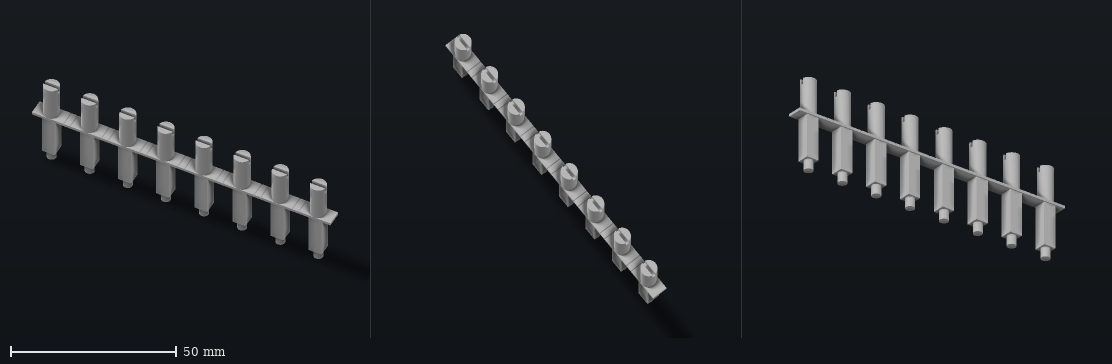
import cadquery as cq

strip_length = 101.8
strip_width = 5.2
strip_thickness = 0.9

screw_count = 8
end_margin = 5.4
screw_pitch = (strip_length - 2 * end_margin) / (screw_count - 1)

head_diameter = strip_width
head_height = 12.0
slot_width = 1.1
slot_depth = 2.0

total_height = 30.9
shank_side = 4.4
tip_diameter = 3.1
tip_length = 3.4
shank_length = total_height - head_height - strip_thickness - tip_length

groove_spacing = 2.2
groove_width = 0.4
groove_depth = 0.2

tip_top = -strip_thickness - shank_length
screw_positions = [(i - (screw_count - 1) / 2) * screw_pitch for i in range(screw_count)]


def make_strip():
    """Flat strip with V-shaped grooves cut into its top face."""
    strip = cq.Workplane("XY").rect(strip_length, strip_width).extrude(-strip_thickness)
    for screw_x in screw_positions[:-1]:
        middle_x = screw_x + screw_pitch / 2
        for side in (-1, 1):
            strip = strip.cut(make_groove(middle_x + side * groove_spacing / 2))
    return strip


def make_groove(x):
    """V-shaped cutter running across the full strip width."""
    corners = [(x - groove_width / 2, 0), (x + groove_width / 2, 0), (x, -groove_depth)]
    return cq.Workplane("XZ").polyline(corners).close().extrude(strip_width / 2, both=True)


def make_screw():
    """One screw on the Z axis: slotted head, square shank and round tip."""
    head = cq.Workplane("XY").circle(head_diameter / 2).extrude(head_height)
    slot = cq.Workplane("XY", origin=(0, 0, head_height)).rect(head_diameter, slot_width).extrude(-slot_depth)
    shank = cq.Workplane("XY").rect(shank_side, shank_side).extrude(tip_top)
    tip = cq.Workplane("XY", origin=(0, 0, tip_top)).circle(tip_diameter / 2).extrude(-tip_length)
    return head.cut(slot).union(shank).union(tip)


result = make_strip()
screw = make_screw()
for screw_x in screw_positions:
    result = result.union(screw.translate((screw_x, 0, 0)))